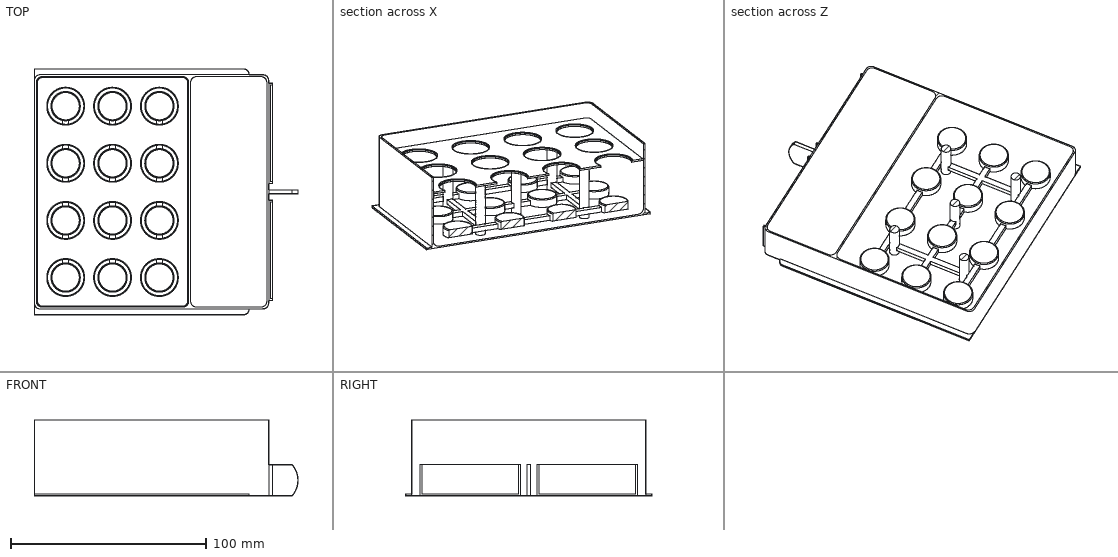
import cadquery as cq
box_length = 120.0
box_width = 120.0
box_height = 39.0
wall = 1.0
floor_thickness = 1.0
corner_radius = 3.0
pocket_radius = 3.0

partition_thickness = 1.0
partition_start = 79.0

flange_length = 110.0
flange_width = 126.0
flange_thickness = 1.0
flange_corner_radius = 3.0

tab_thickness = 2.0
tab_height = 16.0
tab_arc_start = 132.0
tab_tip = 135.02

label_pad_depth = 2.0
label_pad_start = 4.25
label_pad_length = 51.4
label_recess_depth = 1.0
label_border = 1.0

columns = 3
rows = 4
column_pitch = 24.0
row_pitch = 29.25
grid_x = 40.0

plate_top = 31.0
plate_thickness = 1.2
plate_gap = 0.5
plate_corner_radius = 2.5
cell_hole_diameter = 18.6
cell_hole_chamfer = 0.4

seat_diameter = 15.0
seat_height = 4.5
seat_chamfer = 0.5
rib_width = 3.0
rib_height = 2.5
carrier_underside = 4.5
post_diameter = 5.0
outer_post_offset = 20.0

inner_width = box_width - 2 * wall
storage_start = partition_start + partition_thickness
storage_end = box_length - wall
plate_underside = plate_top - plate_thickness
column_x = [grid_x + (i - (columns - 1) / 2) * column_pitch for i in range(columns)]
row_y = [(j - (rows - 1) / 2) * row_pitch for j in range(rows)]
cell_centers = [(x, y) for x in column_x for y in row_y]
cross_rib_y = [-row_pitch, row_pitch]
outer_posts = [(grid_x + side * outer_post_offset, y) for side in (-1, 1) for y in cross_rib_y]
post_centers = [(grid_x, 0)] + outer_posts


def block(x_start, x_end, y_start, y_end, z_start, z_end):
    """A box between the given limits along X, Y and Z."""
    size = (x_end - x_start, y_end - y_start, z_end - z_start)
    return cq.Workplane("XY").box(*size, centered=False).translate((x_start, y_start, z_start))


def centered_block(x_start, x_end, width, z_start, z_end):
    """A box that is symmetric about the XZ plane."""
    return block(x_start, x_end, -width / 2, width / 2, z_start, z_end)


def discs(centers, diameter, z_start, z_end):
    """Upright cylinders at the given centers."""
    base = cq.Workplane("XY").workplane(offset=z_start).pushPoints(centers)
    return base.circle(diameter / 2).extrude(z_end - z_start)


def compartment(x_start, x_end):
    """The space of a compartment, with round vertical corners and a round floor edge."""
    space = centered_block(x_start, x_end, inner_width, floor_thickness, box_height)
    return space.edges("|Z or <Z").fillet(pocket_radius)


def pull_tab():
    """An upright tab that starts inside the +X wall and ends in an arc."""
    outline = (
        cq.Workplane("XZ")
        .moveTo(storage_end, 0)
        .lineTo(tab_arc_start, 0)
        .threePointArc((tab_tip, tab_height / 2), (tab_arc_start, tab_height))
        .lineTo(storage_end, tab_height)
        .close()
    )
    return outline.extrude(tab_thickness / 2, both=True)


def label_holder():
    """The label holder on the +Y side of the tab."""
    outer_face = box_length + label_pad_depth
    pad_end = label_pad_start + label_pad_length
    pad = block(storage_end, outer_face, label_pad_start, pad_end, 0, tab_height)
    recess = block(
        outer_face - label_recess_depth,
        outer_face,
        label_pad_start + label_border,
        pad_end - label_border,
        label_border,
        tab_height,
    )
    return pad.cut(recess)


def make_box():
    body = centered_block(0, box_length, box_width, 0, box_height)
    body = body.edges("|Z").fillet(corner_radius)
    flange = centered_block(0, flange_length, flange_width, 0, flange_thickness)
    body = body.union(flange.edges("|Z and >X").fillet(flange_corner_radius))
    holder = label_holder()
    body = body.union(pull_tab()).union(holder).union(holder.mirror("XZ"))
    body = body.cut(compartment(wall, partition_start))
    return body.cut(compartment(storage_start, storage_end))


def make_cover_plate():
    plate = centered_block(
        wall + plate_gap,
        partition_start - plate_gap,
        inner_width - 2 * plate_gap,
        plate_underside,
        plate_top,
    )
    plate = plate.edges("|Z").fillet(plate_corner_radius)
    plate = plate.cut(discs(cell_centers, cell_hole_diameter, plate_underside, plate_top))
    hole_rims = cq.selectors.RadiusNthSelector(-1)
    return plate.faces(">Z").edges("%CIRCLE").edges(hole_rims).chamfer(cell_hole_chamfer)


def make_carrier():
    seat_top = carrier_underside + seat_height
    rib_top = carrier_underside + rib_height
    carrier = discs(cell_centers, seat_diameter, carrier_underside, seat_top)
    carrier = carrier.faces(">Z").edges().chamfer(seat_chamfer)
    for x in column_x:
        sides = (x - rib_width / 2, x + rib_width / 2)
        carrier = carrier.union(block(*sides, row_y[0], row_y[-1], carrier_underside, rib_top))
    for y in cross_rib_y:
        sides = (y - rib_width / 2, y + rib_width / 2)
        carrier = carrier.union(block(column_x[0], column_x[-1], *sides, carrier_underside, rib_top))
    return carrier.union(discs(post_centers, post_diameter, floor_thickness, plate_underside))


box = make_box()
cover_plate = make_cover_plate()
carrier = make_carrier()

result = cq.Compound.makeCompound([box.val(), cover_plate.val(), carrier.val()])